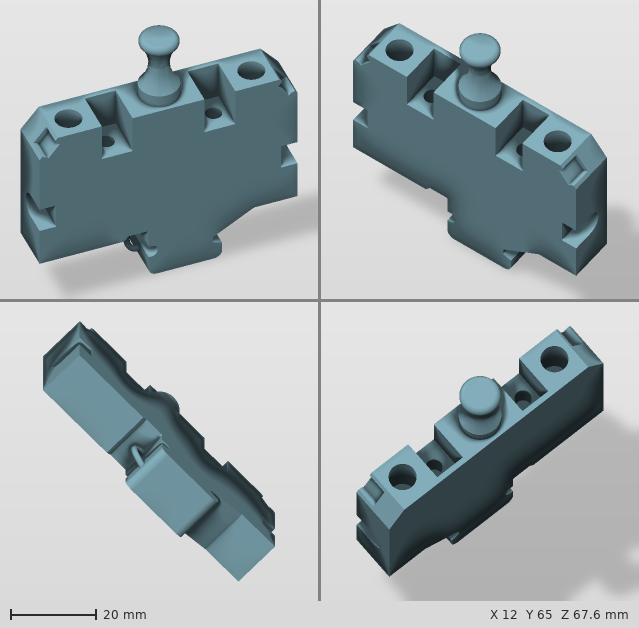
import cadquery as cq
import math

WIDTH = 12.0
LENGTH = 65.0
HOUSING_TOP = 50.0
TOTAL_HEIGHT = 67.6
SHOULDER_RUN = 4.6
SHOULDER_DROP = 5.5
UNDERSIDE = 12.5

FOOT_FRONT = -5.0
FOOT_BACK = 13.5
FOOT_ROUND = 2.0
LEDGE_Z = 13.8
LEDGE_END = -10.15
LEDGE_SLOPE_RUN = 1.15
LEDGE_CORNER_ROUND = 0.35
HOOK_NECK = 11.2
HOOK_NECK_BOTTOM = 5.1
HOOK_NECK_TOP = 6.7
HOOK_TIP_Z = 4.2
SLOPE_START = 21.55
NOTCH_RADIUS = 1.6
NOTCH_DEPTH = 2.3
NOTCH_Z = 7.3

OPENING_X = 0.55
WIRE_BORE_DIAMETER = 6.55
WIRE_BORE_Y = 23.05
WIRE_BORE_DEPTH = 13.5
END_SLOT_DEPTH = 4.2
END_SLOT_Z = 25.95
POCKET_WALL = 1.35
POCKET_INNER_END = 9.05
POCKET_LENGTH = 7.8
POCKET_DEPTH = 10.15

GROOVE_LIP = 1.0
GROOVE_MOUTH_DEPTH = 0.9
GROOVE_DEPTH = 1.75
GROOVE_TAPER = 0.35

SOCKET_DIAMETER = 6.15
SOCKET_BORE = 4.05
SOCKET_LENGTH = 6.75
SOCKET_Y = 13.5

KNOB_RADIUS = 5.0
KNOB_BASE_HEIGHT = 3.3
KNOB_WAIST_RADIUS = 2.5
KNOB_WAIST_Z = 59.7
KNOB_CAP_Z = 65.7
KNOB_CAP_NECK_RADIUS = 4.7
KNOB_CAP_RADIUS = 4.8
KNOB_CAP_TOP_RADIUS = 3.65

WIRE_DIAMETER = 1.5
RING_RADIUS = 4.6
RING_CENTRE_Y = -3.6
RING_CENTRE_Z = 7.45
RING_DRIFT = 0.4
RING_PATH_POINTS = 40

HALF_WIDTH = WIDTH / 2
HALF_LENGTH = LENGTH / 2


def housing_blank():
    """Extruded side outline, with the foot corners rounded."""
    shoulder_y = HALF_LENGTH - SHOULDER_RUN
    shoulder_z = HOUSING_TOP - SHOULDER_DROP
    outline = [
        (-HALF_LENGTH, UNDERSIDE),
        (-HALF_LENGTH, shoulder_z),
        (-shoulder_y, HOUSING_TOP),
        (shoulder_y, HOUSING_TOP),
        (HALF_LENGTH, shoulder_z),
        (HALF_LENGTH, UNDERSIDE),
        (SLOPE_START, UNDERSIDE),
        (HOOK_NECK, HOOK_NECK_TOP),
        (HOOK_NECK, HOOK_NECK_BOTTOM),
        (FOOT_BACK, HOOK_TIP_Z),
        (FOOT_BACK, 0),
        (FOOT_FRONT, 0),
        (FOOT_FRONT, LEDGE_Z),
        (LEDGE_END, LEDGE_Z),
        (LEDGE_END - LEDGE_SLOPE_RUN, UNDERSIDE),
    ]
    blank = cq.Workplane("YZ").polyline(outline).close().extrude(HALF_WIDTH, both=True)
    blank = blank.edges("|X and <Z").fillet(FOOT_ROUND)
    ledge_corner = cq.selectors.NearestToPointSelector((0, FOOT_FRONT, LEDGE_Z))
    return blank.edges("|X").edges(ledge_corner).fillet(LEDGE_CORNER_ROUND)


def foot_notch():
    """Round-bottomed notch across the front of the foot."""
    centre_y = FOOT_FRONT + NOTCH_DEPTH - NOTCH_RADIUS
    return (
        cq.Workplane("YZ")
        .moveTo(FOOT_FRONT, NOTCH_Z - NOTCH_RADIUS)
        .lineTo(centre_y, NOTCH_Z - NOTCH_RADIUS)
        .threePointArc((centre_y + NOTCH_RADIUS, NOTCH_Z), (centre_y, NOTCH_Z + NOTCH_RADIUS))
        .lineTo(FOOT_FRONT, NOTCH_Z + NOTCH_RADIUS)
        .close()
        .extrude(HALF_WIDTH, both=True)
    )


def wire_bore():
    """Blind bore from the top at the -Y end."""
    return (
        cq.Workplane("XY", origin=(OPENING_X, -WIRE_BORE_Y, HOUSING_TOP))
        .circle(WIRE_BORE_DIAMETER / 2)
        .extrude(-WIRE_BORE_DEPTH)
    )


def end_slot():
    """Slot in the -Y end face, rounded inside and open at the +X side."""
    radius = WIRE_BORE_DIAMETER / 2
    return (
        cq.Workplane("XZ", origin=(0, -HALF_LENGTH, END_SLOT_Z))
        .moveTo(HALF_WIDTH, radius)
        .lineTo(OPENING_X, radius)
        .threePointArc((OPENING_X - radius, 0), (OPENING_X, -radius))
        .lineTo(HALF_WIDTH, -radius)
        .close()
        .extrude(-END_SLOT_DEPTH)
    )


def socket_pocket():
    """Pocket in the top on the -Y half, open at the +X side."""
    corner = (POCKET_WALL - HALF_WIDTH, -POCKET_INNER_END - POCKET_LENGTH, HOUSING_TOP - POCKET_DEPTH)
    return cq.Workplane("XY", origin=corner).box(
        WIDTH - POCKET_WALL, POCKET_LENGTH, POCKET_DEPTH, centered=False
    )


def label_groove():
    """Groove in the -Y shoulder: a tapered mouth above a straight channel, open at the +X side."""
    slope_length = math.hypot(SHOULDER_RUN, SHOULDER_DROP)
    half_mouth = slope_length / 2 - GROOVE_LIP
    half_channel = half_mouth - GROOVE_TAPER
    shoulder_middle = cq.Plane(
        origin=(OPENING_X, -HALF_LENGTH + SHOULDER_RUN / 2, HOUSING_TOP - SHOULDER_DROP / 2),
        xDir=(0, SHOULDER_RUN, SHOULDER_DROP),
        normal=(1, 0, 0),
    )
    section = [
        (-half_mouth, 0),
        (-half_channel, -GROOVE_MOUTH_DEPTH),
        (-half_channel, -GROOVE_DEPTH),
        (half_channel, -GROOVE_DEPTH),
        (half_channel, -GROOVE_MOUTH_DEPTH),
        (half_mouth, 0),
    ]
    return cq.Workplane(shoulder_middle).polyline(section).close().extrude(HALF_WIDTH - OPENING_X)


def socket_blank(side):
    """Plain cylinder below a pocket floor; side is +1 or -1 along Y."""
    return (
        cq.Workplane("XY", origin=(OPENING_X, side * SOCKET_Y, HOUSING_TOP - POCKET_DEPTH))
        .circle(SOCKET_DIAMETER / 2)
        .extrude(-SOCKET_LENGTH)
    )


def make_housing():
    body = housing_blank().cut(foot_notch())
    for opening in (wire_bore(), end_slot(), socket_pocket(), label_groove()):
        body = body.cut(opening).cut(opening.mirror("XZ"))
    for side in (-1, 1):
        body = body.cut(socket_blank(side))
    return body


def make_socket(side):
    """Sleeve flush with the pocket floor, bored right through."""
    return socket_blank(side).faces(">Z").workplane(centerOption="CenterOfMass").hole(SOCKET_BORE)


def flare_radius(end_radius, height):
    """Radius of the arc that leaves the waist vertically and reaches end_radius after height."""
    spread = end_radius - KNOB_WAIST_RADIUS
    return (spread**2 + height**2) / (2 * spread)


def make_knob():
    """Turned knob: cylindrical base, concave waist and rounded cap."""
    base_top = HOUSING_TOP + KNOB_BASE_HEIGHT
    cap_middle_z = (KNOB_CAP_Z + TOTAL_HEIGHT) / 2
    lower_flare = flare_radius(KNOB_RADIUS, KNOB_WAIST_Z - base_top)
    upper_flare = flare_radius(KNOB_CAP_NECK_RADIUS, KNOB_CAP_Z - KNOB_WAIST_Z)
    return (
        cq.Workplane("XZ")
        .moveTo(0, HOUSING_TOP)
        .lineTo(KNOB_RADIUS, HOUSING_TOP)
        .lineTo(KNOB_RADIUS, base_top)
        .radiusArc((KNOB_WAIST_RADIUS, KNOB_WAIST_Z), lower_flare)
        .radiusArc((KNOB_CAP_NECK_RADIUS, KNOB_CAP_Z), upper_flare)
        .threePointArc((KNOB_CAP_RADIUS, cap_middle_z), (KNOB_CAP_TOP_RADIUS, TOTAL_HEIGHT))
        .lineTo(0, TOTAL_HEIGHT)
        .close()
        .revolve(360, (0, 0, 0), (0, 1, 0))
    )


def ring_point(turn):
    """Wire centre at an angle from straight up; below mid height it drifts towards -X."""
    below = max(0.0, turn - math.pi / 2)
    return (
        -RING_DRIFT * below**2,
        RING_CENTRE_Y - RING_RADIUS * math.sin(turn),
        RING_CENTRE_Z + RING_RADIUS * math.cos(turn),
    )


def make_ring():
    """Bent wire in front of the foot, with both ends trimmed flat on the foot."""
    path = cq.Workplane("XY").parametricCurve(ring_point, N=RING_PATH_POINTS, start=0, stop=math.pi)
    wire = cq.Workplane("XZ", origin=ring_point(0)).circle(WIRE_DIAMETER / 2).sweep(path)
    foot_side = cq.Workplane("XY", origin=(0, FOOT_FRONT + HALF_LENGTH, 0)).box(WIDTH, LENGTH, TOTAL_HEIGHT)
    return wire.cut(foot_side)


housing = make_housing()
sockets = [make_socket(side).val() for side in (-1, 1)]
knob = make_knob()
ring = make_ring()

result = cq.Compound.makeCompound([housing.val(), *sockets, knob.val(), ring.val()])